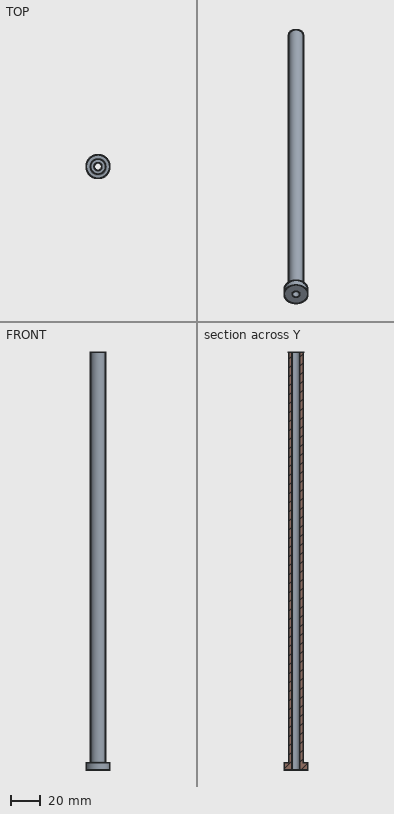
import cadquery as cq

total_length = 280.0
head_diameter = 16.0
head_height = 5.0
tube_diameter = 10.0
bore_diameter = 5.0
root_fillet = 0.5

head_radius = head_diameter / 2
tube_radius = tube_diameter / 2
bore_radius = bore_diameter / 2

half_section = (
    cq.Workplane("XZ")
    .moveTo(bore_radius, 0)
    .lineTo(head_radius, 0)
    .lineTo(head_radius, head_height)
    .lineTo(tube_radius + root_fillet, head_height)
    .radiusArc((tube_radius, head_height + root_fillet), root_fillet)
    .lineTo(tube_radius, total_length)
    .lineTo(bore_radius, total_length)
    .close()
)

result = half_section.revolve(360, (0, 0, 0), (0, 1, 0))